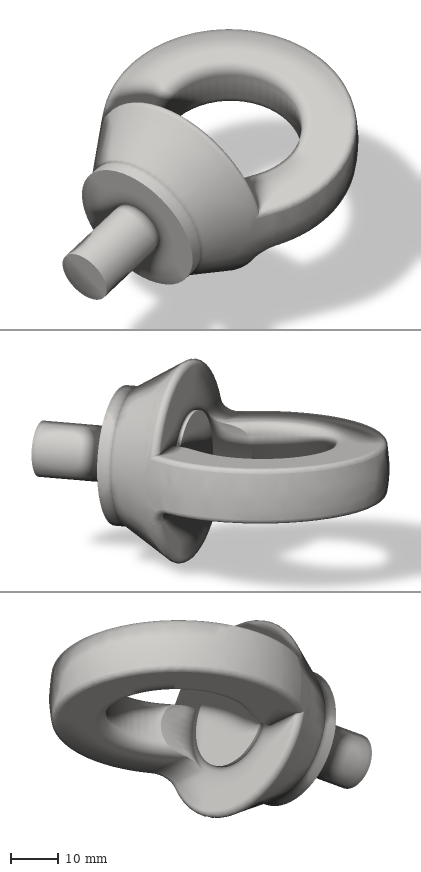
import cadquery as cq
import math

total_length = 77.0
stud_diameter = 12.0
stud_length = 18.0
flange_diameter = 30.0
flange_height = 3.0

sphere_radius = 27.5
sphere_y = total_length - stud_length - sphere_radius
collar_top = 15.95
edge_radius = 1.15

ring_thickness = 12.0
blend_radius = 3.1

eye_radius = 15.0
eye_y = 32.0
eye_edge_radius = 2.3
eye_taper = 30.0

clearance_diameter = 26.4
disc_diameter = 22.0
disc_height = 0.9

tolerance = 0.01
flange_radius = flange_diameter / 2
half_thickness = ring_thickness / 2


def round_bar(diameter, y_start, y_end):
    """Cylinder on the Y axis between two heights."""
    bar = cq.Workplane("XZ", origin=(0, y_start, 0)).circle(diameter / 2)
    return bar.extrude(y_start - y_end)


def outer_skin():
    """Solid cone with a tangent spherical cap, turned about the Y axis."""
    rise = sphere_y - flange_height
    distance = math.hypot(flange_radius, rise)
    tangent_angle = math.acos(sphere_radius / distance) - math.atan2(rise, flange_radius)
    crown_angle = math.pi / 2
    middle_angle = (tangent_angle + crown_angle) / 2

    def on_sphere(angle):
        return sphere_radius * math.cos(angle), sphere_y + sphere_radius * math.sin(angle)

    profile = (
        cq.Workplane("XY")
        .moveTo(0, flange_height)
        .lineTo(flange_radius, flange_height)
        .lineTo(*on_sphere(tangent_angle))
        .threePointArc(on_sphere(middle_angle), on_sphere(crown_angle))
        .close()
    )
    return profile.revolve(360, (0, 0, 0), (0, 1, 0))


def envelope_half(side):
    """Collar and ring slab on one side of X = 0; the inner corner at Z = -side is blended."""
    blended = -side
    profile = (
        cq.Workplane("YZ")
        .moveTo(0, blended * sphere_radius)
        .lineTo(collar_top, blended * sphere_radius)
        .lineTo(collar_top, blended * (half_thickness + blend_radius))
        .radiusArc((collar_top + blend_radius, blended * half_thickness), side * blend_radius)
        .lineTo(total_length, blended * half_thickness)
        .lineTo(total_length, -blended * half_thickness)
        .lineTo(collar_top, -blended * half_thickness)
        .lineTo(collar_top, -blended * sphere_radius)
        .lineTo(0, -blended * sphere_radius)
        .close()
    )
    return profile.extrude(side * sphere_radius)


def round_outer_edges(body, skin):
    """Round the edges where the collar top, blends and ring faces meet the outer skin."""
    skin_surface = cq.Compound.makeCompound(skin.faces().vals())
    edges = []
    for edge in body.edges().vals():
        middle = edge.positionAt(0.5)
        above_cone = middle.y > collar_top - tolerance
        beyond_ring = abs(middle.z) > half_thickness - tolerance
        on_skin = cq.Vertex.makeVertex(*middle.toTuple()).distance(skin_surface) < tolerance
        if above_cone and beyond_ring and on_skin:
            edges.append(edge)
    return body.newObject(edges).fillet(edge_radius)


def eye_section():
    """Half section of the eye hole, widening in quarter rounds at both ring faces."""
    flare_radius = eye_radius + eye_edge_radius
    flare_start = half_thickness - eye_edge_radius
    return (
        cq.Workplane("XZ")
        .moveTo(0, -half_thickness)
        .lineTo(flare_radius, -half_thickness)
        .radiusArc((eye_radius, -flare_start), eye_edge_radius)
        .lineTo(eye_radius, flare_start)
        .radiusArc((flare_radius, half_thickness), eye_edge_radius)
        .lineTo(0, half_thickness)
        .close()
    )


def eye_cutter():
    """Round eye with two converging tangent sides, kept above the collar top."""
    cutter = eye_section().revolve(360, (0, 0, 0), (0, 1, 0))
    side_length = eye_y - collar_top
    right_side = eye_section().extrude(side_length).rotate((0, 0, 0), (0, 0, 1), -eye_taper)
    cutter = cutter.union(right_side).union(right_side.mirror("YZ"))
    above_collar = round_bar(2 * sphere_radius, collar_top, total_length)
    return cutter.translate((0, eye_y, 0)).intersect(above_collar)


skin = outer_skin()
body = skin.intersect(envelope_half(-1).union(envelope_half(1)))
body = round_outer_edges(body, skin)

body = body.cut(eye_cutter())
body = body.cut(round_bar(clearance_diameter, collar_top, eye_y))

body = body.union(round_bar(disc_diameter, flange_height, collar_top + disc_height))
body = body.union(round_bar(flange_diameter, 0, flange_height))
result = body.union(round_bar(stud_diameter, -stud_length, 0))